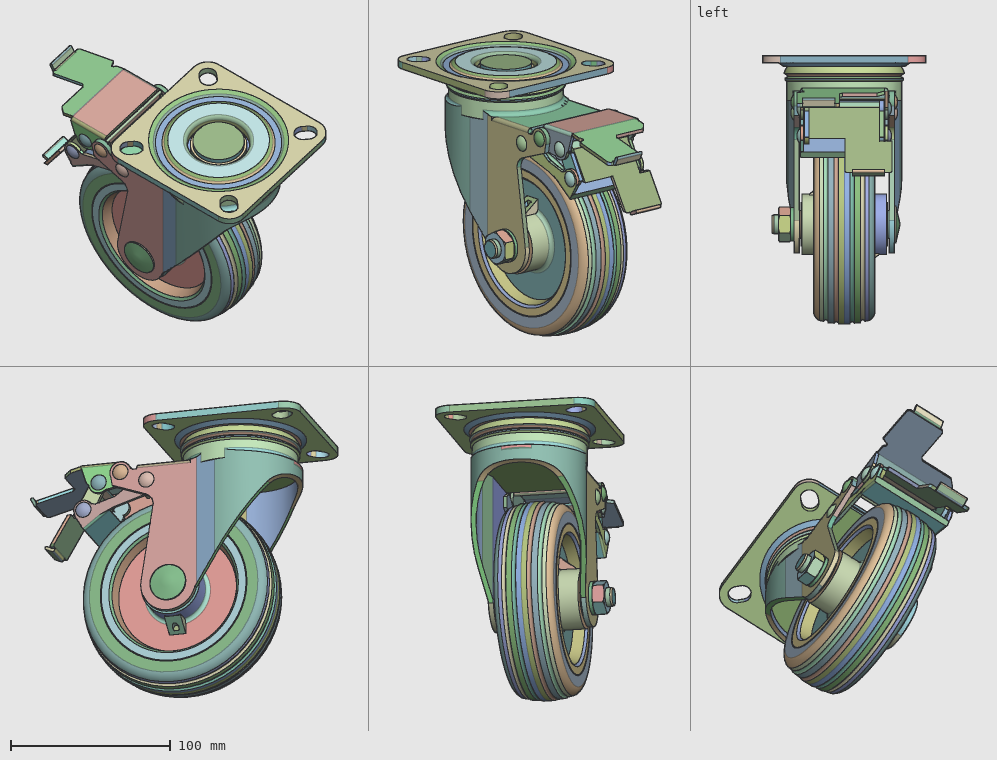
import cadquery as cq
import math


WHEEL_RADIUS = 62.5
TOTAL_HEIGHT = 168.0
SWIVEL_X = 38.0
PLATE_TOP = TOTAL_HEIGHT - WHEEL_RADIUS

PLATE_SIZE = 102.0
PLATE_THICKNESS = 4.5
PLATE_CORNER = 11.0
PLATE_BOTTOM = PLATE_TOP - PLATE_THICKNESS
BOLT_SPACING = 77.5
SLOT_LENGTH = 14.5
SLOT_WIDTH = 11.0
DISH_DEPTH = 2.2
DISH_RADII = (43.8, 40.9, 39.5, 35.4, 34.0, 31.8)
DISH_LIP_DEPTH = 1.2
BULGE_TOP_RADIUS = 41.3
BULGE_BOTTOM_RADIUS = 38.0
PIN_HOLE_RADIUS = 19.6
PIN_HOLE_LIP_RADIUS = 22.0

NECK_TOP = PLATE_BOTTOM - DISH_DEPTH
NECK_RADIUS = 36.0
NECK_FLARE = 3.0
LOWER_LIP_RADIUS = 37.2
LOWER_LIP_Z = 90.4
LOWER_LIP_THICKNESS = 0.9
LIP_SLOPE = 1.2
LIP_GROOVE_RADIUS = 35.0
LIP_GROOVE_Z = 92.6
UPPER_LIP_RADIUS = 37.7
UPPER_LIP_Z = 94.3
NECK_TOP_RADIUS = 35.5
UPPER_LIP_ARC = 9.0
PIN_RADIUS = 16.1
PIN_COLLAR_RADIUS = 17.7
PIN_COLLAR_TOP = PLATE_BOTTOM + 1.0
PIN_TOP = PLATE_TOP - 0.5
ROOF_TOP = 80.6
SHEET = 3.25
LEG_OUTER = 31.3
LEG_INNER = LEG_OUTER - SHEET
LEG_END_RADIUS = 18.0
ROOF_FRONT_X = -19.7
NOTCH_DEPTH = 3.0
SKIRT_LIP_Z = 71.5
SKIRT_SWEEP_END = (64.0, 62.0)
LEG_REAR_END = (17.5, -4.2)
LEG_FRONT_TOP = (-9.8, 53.0)
EAR_ARM_START = (-15.5, 60.6)
SKIRT_START_X = 18.6
SKIRT_CENTRE_X = 41.0
SKIRT_RADIUS = 36.1
BEND_RADIUS = 2.5

TYRE_HALF_WIDTH = 19.2
TYRE_SHOULDER_RADIUS = 55.0
TREAD_EDGE = (60.2, 15.5)
OUTER_GROOVE = ((60.7, 12.9), (59.8, 11.5), (61.6, 10.2))
INNER_GROOVE = ((61.9, 6.3), (61.0, 4.9), (WHEEL_RADIUS, 3.5))
SEAM_RADIUS = 47.6
SEAM_HALF_WIDTH = 0.3
RIM_INNER_RADIUS = 42.3
RIM_EDGE = 1.6
WEB_OUTER_RADIUS = 38.5
WEB_HALF_WIDTH = 10.5
HUB_RADIUS = 19.0
HUB_FILLET = 2.5
HUB_HALF_WIDTH = 26.5
BEARING_RADIUS = 13.6
BEARING_HALF_WIDTH = 27.2
LUG_WIDTH = 10.6
LUG_REACH = 27.4
LUG_ROOT = 1.0
LUG_TOP_Y = 21.8
LUG_HOLE_RADIUS = 2.0
LUG_HOLE_Z = 24.2
LUG_HOLE_DEPTH = 2.0

AXLE_RADIUS = 6.0
AXLE_END_Y = 45.2
AXLE_CHAMFER = 1.2
SPACER_RADIUS = 8.8
HEAD_RADIUS = 11.6
HEAD_RIM = 1.0
HEAD_CONE = 2.7
WASHER_RADIUS = 10.5
WASHER_THICKNESS = 2.2
NUT_FLATS = 19.0
NUT_THICKNESS = 7.5
NUT_CHAMFER_HEIGHT = 0.6
NUT_CHAMFER_WIDTH = 1.0

PEDAL_PIVOT = (-31.2, 76.5)
SHOE_PIVOT = (-14.2, 69.7)
LINK_TOP_PIVOT = (-46.5, 72.4)
LINK_BOTTOM_PIVOT = (-56.5, 55.3)
BRAKE_SHEET = 2.1
BRAKE_OUTER = 27.5
BRAKE_INNER = BRAKE_OUTER - BRAKE_SHEET
LEVER_OUTER = 24.9
LEVER_SHEET = 2.8
LEVER_INNER = LEVER_OUTER - LEVER_SHEET
EAR_RADIUS = 6.8
SHOE_EYE_RADIUS = 6.3
RIVET_HEAD_RADIUS = 5.0
RIVET_HEAD_HEIGHT = 2.1
RIVET_SHANK_RADIUS = 3.0
PEDAL_TOP = 85.2
PEDAL_BEND = 2.0
TONGUE_CORNER = 2.0
LEVER_CORNER = 1.5
PAD_THICKNESS = 4.5
PAD_BEND = 1.3


def xz_plane(y_high):
    """Sketch plane in X and Z whose extrusions run from y_high towards -Y."""
    return cq.Workplane("XZ", origin=(0, y_high, 0))


def slab(points, y_low, y_high):
    """Prism with an outline in X and Z, between two Y values."""
    return xz_plane(y_high).polyline(points).close().extrude(y_high - y_low)


def disc(centre, radius, y_low, y_high):
    """Cylinder along Y."""
    return xz_plane(y_high).center(*centre).circle(radius).extrude(y_high - y_low)


def strip(start, end, thickness, y_low, y_high):
    """Flat sheet along a line in X and Z, with rounded ends."""
    dx = end[0] - start[0]
    dz = end[1] - start[1]
    middle = ((start[0] + end[0]) / 2, (start[1] + end[1]) / 2)
    length = math.hypot(dx, dz) + thickness
    angle = math.degrees(math.atan2(dz, dx))
    return xz_plane(y_high).center(*middle).slot2D(length, thickness, angle).extrude(y_high - y_low)


def both_sides(body):
    """The body together with its mirror image in Y."""
    return body.union(body.mirror("XZ"))


def make_plate():
    swivel = cq.Workplane("XY", origin=(SWIVEL_X, 0, PLATE_BOTTOM))
    plate = swivel.rect(PLATE_SIZE, PLATE_SIZE).extrude(PLATE_THICKNESS)
    plate = plate.edges("|Z").fillet(PLATE_CORNER)
    half = BOLT_SPACING / 2
    for x_sign in (-1, 1):
        for y_sign in (-1, 1):
            slot = swivel.center(x_sign * half, y_sign * half)
            slot = slot.slot2D(SLOT_LENGTH, SLOT_WIDTH, 45 * x_sign * y_sign)
            plate = plate.cut(slot.extrude(PLATE_THICKNESS))

    bulge = swivel.circle(BULGE_TOP_RADIUS).workplane(offset=-DISH_DEPTH)
    bulge = bulge.circle(BULGE_BOTTOM_RADIUS).loft(combine=True)
    plate = plate.union(bulge)
    outer, outer_wall, outer_floor, inner_floor, inner_wall, inner = DISH_RADII
    lip_z = PLATE_TOP - DISH_LIP_DEPTH
    groove_floor = PLATE_TOP - DISH_DEPTH
    groove = (
        cq.Workplane("XZ")
        .polyline([
            (outer, PLATE_TOP), (outer_wall, lip_z), (outer_floor, groove_floor),
            (inner_floor, groove_floor), (inner_wall, lip_z), (inner, PLATE_TOP),
        ])
        .close()
        .revolve(360, (0, 0, 0), (0, 1, 0))
        .translate((SWIVEL_X, 0, 0))
    )
    plate = plate.cut(groove)

    lip = PIN_HOLE_LIP_RADIUS - PIN_HOLE_RADIUS
    hole = (
        cq.Workplane("XZ")
        .moveTo(0, NECK_TOP)
        .lineTo(PIN_HOLE_RADIUS, NECK_TOP)
        .lineTo(PIN_HOLE_RADIUS, PLATE_TOP - lip)
        .radiusArc((PIN_HOLE_LIP_RADIUS, PLATE_TOP), lip)
        .lineTo(0, PLATE_TOP)
        .close()
        .revolve(360, (0, 0, 0), (0, 1, 0))
        .translate((SWIVEL_X, 0, 0))
    )
    return plate.cut(hole)


def fork_plan(inset):
    """Fork seen from above, moved in by the inset: flat legs, then flanks tangent to the round skirt."""
    front_x = PEDAL_PIVOT[0] - EAR_RADIUS - 1
    leg_y = LEG_OUTER - inset
    radius = SKIRT_RADIUS - inset
    reach = math.hypot(SKIRT_CENTRE_X - SKIRT_START_X, LEG_OUTER)
    corner_angle = math.atan2(SKIRT_CENTRE_X - SKIRT_START_X, LEG_OUTER)
    flare = corner_angle - math.acos(SKIRT_RADIUS / reach)
    corner_x = SKIRT_START_X + inset * math.tan(flare / 2)
    tangent_x = SKIRT_CENTRE_X - radius * math.sin(flare)
    tangent_y = radius * math.cos(flare)
    return (
        cq.Workplane("XY", origin=(0, 0, -LEG_END_RADIUS))
        .moveTo(front_x, -leg_y)
        .lineTo(corner_x, -leg_y)
        .lineTo(tangent_x, -tangent_y)
        .threePointArc((SKIRT_CENTRE_X + radius, 0), (tangent_x, tangent_y))
        .lineTo(corner_x, leg_y)
        .lineTo(front_x, leg_y)
        .close()
    )


def fork_side_profile():
    """Fork legs, ears and rear skirt seen along Y, as one block."""
    half_width = SKIRT_RADIUS + 2
    rear_x = SKIRT_CENTRE_X + SKIRT_RADIUS + 1
    ear_x, ear_z = PEDAL_PIVOT
    notch_z = ROOF_TOP - NOTCH_DEPTH
    return (
        xz_plane(half_width)
        .moveTo(ROOF_FRONT_X, ROOF_TOP + 1)
        .lineTo(rear_x, ROOF_TOP + 1)
        .lineTo(rear_x, SKIRT_LIP_Z)
        .threePointArc((70.0, 67.8), SKIRT_SWEEP_END)
        .lineTo(*LEG_REAR_END)
        .threePointArc((0, -LEG_END_RADIUS), (-LEG_END_RADIUS + 0.3, 2.5))
        .lineTo(*LEG_FRONT_TOP)
        .threePointArc((-11.0, 57.2), EAR_ARM_START)
        .lineTo(ear_x - 5.2, ear_z - 8.3)
        .lineTo(ear_x - EAR_RADIUS, ear_z)
        .lineTo(ear_x, ear_z + EAR_RADIUS)
        .lineTo(ear_x + 3.5, ear_z + 5.8)
        .lineTo(-23.2, notch_z)
        .lineTo(-20.8, notch_z)
        .close()
        .extrude(2 * half_width)
    )


def make_fork():
    height = ROOF_TOP + LEG_END_RADIUS
    shell = fork_plan(0).extrude(height).faces(">Z").edges("not |Y").fillet(BEND_RADIUS)
    cavity = fork_plan(SHEET).extrude(height)
    roof_length = SKIRT_CENTRE_X + SKIRT_RADIUS - ROOF_FRONT_X
    roof = cq.Workplane("XY", origin=(ROOF_FRONT_X + roof_length / 2, 0, ROOF_TOP - SHEET))
    roof = roof.rect(roof_length, 2 * SKIRT_RADIUS).extrude(SHEET)
    fork = shell.cut(cavity.cut(roof)).intersect(fork_side_profile())
    fork = fork.union(both_sides(disc(PEDAL_PIVOT, EAR_RADIUS, LEG_INNER, LEG_OUTER)))

    neck = (
        cq.Workplane("XZ")
        .moveTo(0, ROOF_TOP - SHEET)
        .lineTo(NECK_RADIUS, ROOF_TOP - SHEET)
        .lineTo(NECK_RADIUS, LOWER_LIP_Z - LIP_SLOPE)
        .lineTo(LOWER_LIP_RADIUS, LOWER_LIP_Z)
        .lineTo(LOWER_LIP_RADIUS, LOWER_LIP_Z + LOWER_LIP_THICKNESS)
        .lineTo(LIP_GROOVE_RADIUS, LIP_GROOVE_Z)
        .lineTo(UPPER_LIP_RADIUS - LIP_SLOPE, UPPER_LIP_Z - LIP_SLOPE / 2)
        .lineTo(UPPER_LIP_RADIUS, UPPER_LIP_Z)
        .radiusArc((NECK_TOP_RADIUS, NECK_TOP), -UPPER_LIP_ARC)
        .lineTo(PIN_COLLAR_RADIUS, NECK_TOP)
        .lineTo(PIN_COLLAR_RADIUS, PIN_COLLAR_TOP)
        .lineTo(PIN_RADIUS, PIN_COLLAR_TOP)
        .lineTo(PIN_RADIUS, PIN_TOP)
        .lineTo(0, PIN_TOP)
        .close()
        .revolve(360, (0, 0, 0), (0, 1, 0))
        .translate((SWIVEL_X, 0, 0))
    )
    flare_radius = NECK_RADIUS + NECK_FLARE
    flare = (
        cq.Workplane("XZ")
        .moveTo(PIN_RADIUS, ROOF_TOP - BEND_RADIUS)
        .lineTo(flare_radius, ROOF_TOP - BEND_RADIUS)
        .lineTo(flare_radius, ROOF_TOP)
        .radiusArc((NECK_RADIUS, ROOF_TOP + NECK_FLARE), NECK_FLARE)
        .lineTo(PIN_RADIUS, ROOF_TOP + NECK_FLARE)
        .close()
        .revolve(360, (0, 0, 0), (0, 1, 0))
        .translate((SWIVEL_X, 0, 0))
        .intersect(fork_plan(0).extrude(PLATE_TOP))
    )
    fork = fork.union(flare).union(neck)
    span = SKIRT_RADIUS + 1
    fork = fork.cut(disc((0, 0), AXLE_RADIUS, -span, span))
    for pivot in (PEDAL_PIVOT, SHOE_PIVOT):
        fork = fork.cut(disc(pivot, RIVET_SHANK_RADIUS, -span, span))
    return fork


def wheel_half_profile():
    """Radius against Y for one half of the wheel, from the hub end out to the tread centre."""
    return (
        cq.Workplane("XY")
        .moveTo(AXLE_RADIUS, 0)
        .lineTo(AXLE_RADIUS, BEARING_HALF_WIDTH)
        .lineTo(BEARING_RADIUS, BEARING_HALF_WIDTH)
        .lineTo(BEARING_RADIUS, HUB_HALF_WIDTH)
        .lineTo(HUB_RADIUS, HUB_HALF_WIDTH)
        .lineTo(HUB_RADIUS, WEB_HALF_WIDTH + HUB_FILLET)
        .radiusArc((HUB_RADIUS + HUB_FILLET, WEB_HALF_WIDTH), -HUB_FILLET)
        .lineTo(WEB_OUTER_RADIUS, WEB_HALF_WIDTH)
        .lineTo(RIM_INNER_RADIUS - RIM_EDGE, TYRE_HALF_WIDTH - RIM_EDGE)
        .lineTo(RIM_INNER_RADIUS, TYRE_HALF_WIDTH)
        .lineTo(SEAM_RADIUS - SEAM_HALF_WIDTH, TYRE_HALF_WIDTH)
        .lineTo(SEAM_RADIUS, TYRE_HALF_WIDTH - SEAM_HALF_WIDTH)
        .lineTo(SEAM_RADIUS + SEAM_HALF_WIDTH, TYRE_HALF_WIDTH)
        .lineTo(TYRE_SHOULDER_RADIUS, TYRE_HALF_WIDTH)
        .threePointArc((58.6, 17.6), TREAD_EDGE)
        .lineTo(*OUTER_GROOVE[0])
        .threePointArc(*OUTER_GROOVE[1:])
        .lineTo(*INNER_GROOVE[0])
        .threePointArc(*INNER_GROOVE[1:])
        .lineTo(WHEEL_RADIUS, 0)
    )


def make_lug():
    """Ramp below the hub on the -Y side, falling from the hub to the web, with a round dimple."""
    lug = (
        cq.Workplane("YZ", origin=(-LUG_WIDTH / 2, 0, 0))
        .polyline([
            (-LUG_TOP_Y, LUG_ROOT - HUB_RADIUS),
            (-LUG_TOP_Y, -HUB_RADIUS),
            (-WEB_HALF_WIDTH, -LUG_REACH),
            (LUG_ROOT - WEB_HALF_WIDTH, -LUG_REACH),
            (LUG_ROOT - WEB_HALF_WIDTH, LUG_ROOT - HUB_RADIUS),
        ])
        .close()
        .extrude(LUG_WIDTH)
    )
    slope = (LUG_TOP_Y - WEB_HALF_WIDTH) / (LUG_REACH - HUB_RADIUS)
    surface_y = -WEB_HALF_WIDTH - (LUG_REACH - LUG_HOLE_Z) * slope
    dimple = disc((0, -LUG_HOLE_Z), LUG_HOLE_RADIUS, -LUG_TOP_Y, surface_y + LUG_HOLE_DEPTH)
    return lug.cut(dimple)


def make_wheel():
    rim_and_tyre = wheel_half_profile().mirrorX().revolve(360, (0, 0, 0), (0, 1, 0))
    lug = make_lug()
    opposite_lug = lug.rotate((0, 0, 0), (1, 0, 0), 180)
    return rim_and_tyre.union(lug).union(opposite_lug)


def make_axle():
    head_y = -LEG_OUTER - HEAD_RIM
    axle = (
        cq.Workplane("XY")
        .polyline([
            (0, head_y - HEAD_CONE),
            (HEAD_RADIUS, head_y),
            (HEAD_RADIUS, -LEG_OUTER),
            (AXLE_RADIUS, -LEG_OUTER),
            (AXLE_RADIUS, AXLE_END_Y - AXLE_CHAMFER),
            (AXLE_RADIUS - AXLE_CHAMFER / 2, AXLE_END_Y),
            (0, AXLE_END_Y),
        ])
        .close()
        .revolve(360, (0, 0, 0), (0, 1, 0))
    )
    axle = axle.union(both_sides(disc((0, 0), SPACER_RADIUS, BEARING_HALF_WIDTH, LEG_INNER)))
    nut_start = LEG_OUTER + WASHER_THICKNESS
    nut_end = nut_start + NUT_THICKNESS
    corner_diameter = NUT_FLATS / math.cos(math.pi / 6)
    nut = xz_plane(nut_end).transformed(rotate=(0, 0, 30)).polygon(6, corner_diameter)
    nut = nut.extrude(NUT_THICKNESS)
    nut_turning = disc((0, 0), corner_diameter / 2, nut_start, nut_end)
    nut_turning = nut_turning.faces("<Y or >Y").chamfer(NUT_CHAMFER_HEIGHT, NUT_CHAMFER_WIDTH)
    washer = disc((0, 0), WASHER_RADIUS, LEG_OUTER, nut_start)
    return axle.union(washer).union(nut.intersect(nut_turning))


def rivet_pair(pivot, seat_y, inner_y):
    """Domed rivets on both sides: heads on seat_y, shanks running in to inner_y."""
    dome_radius = (RIVET_HEAD_RADIUS**2 + RIVET_HEAD_HEIGHT**2) / (2 * RIVET_HEAD_HEIGHT)
    head = (
        cq.Workplane("XY")
        .lineTo(RIVET_HEAD_RADIUS, 0)
        .radiusArc((0, RIVET_HEAD_HEIGHT), -dome_radius)
        .close()
        .revolve(360, (0, 0, 0), (0, 1, 0))
        .translate((pivot[0], seat_y, pivot[1]))
    )
    shank = disc(pivot, RIVET_SHANK_RADIUS, inner_y, seat_y)
    return both_sides(head.union(shank))


def make_pedal():
    """Upper pedal: channel on the fork ears with a tongue sloping forward and down."""
    front_x, rear_x = -58.0, -30.9
    under_top = PEDAL_TOP - BRAKE_SHEET
    top = slab(
        [(front_x, under_top), (rear_x, under_top), (rear_x, PEDAL_TOP), (front_x, PEDAL_TOP)],
        -BRAKE_OUTER, BRAKE_OUTER,
    )
    top = top.edges("|X and >Z").fillet(PEDAL_BEND)
    flange = slab(
        [(front_x, under_top), (-54.8, 73.0), (-48.0, 66.3), (-36.4, 68.2), (-31.2, 69.7),
         (-26.0, 73.0), (-28.5, 81.0), (rear_x, under_top)],
        BRAKE_INNER, BRAKE_OUTER,
    )
    flange = flange.union(disc(LINK_TOP_PIVOT, EAR_RADIUS, BRAKE_INNER, BRAKE_OUTER))
    rear_edge = strip((-29.9, 82.0), (-29.9, 79.0), BRAKE_SHEET, -BRAKE_OUTER, BRAKE_OUTER)

    tongue_start = (front_x, PEDAL_TOP - BRAKE_SHEET / 2)
    tongue_end = (-97.8, 74.2)
    tongue = strip(tongue_start, tongue_end, BRAKE_SHEET, -BRAKE_OUTER, LEG_OUTER)
    outline = (
        cq.Workplane("XY", origin=(0, 0, tongue_end[1] - SHEET))
        .polyline([
            (-55.5, 26.5), (-64.0, 26.5), (-65.6, 25.2), (-67.1, 25.2), (-69.0, 29.7), (-97.0, 29.7),
            (-97.0, 2.9), (-72.5, 2.9), (-70.5, 1.0), (-70.5, -20.6), (-65.6, -25.2), (-55.5, -25.2),
        ])
        .close()
        .extrude(PEDAL_TOP)
    )
    outline = outline.edges("|Z and <X").fillet(TONGUE_CORNER)
    lip_low, lip_high = 5.9, 26.0
    lip_foot = strip((-96.0, 74.7), tongue_end, BRAKE_SHEET, lip_low, lip_high)
    lip = strip(tongue_end, (-99.9, 78.0), BRAKE_SHEET, lip_low, lip_high)
    pedal = top.union(both_sides(flange)).union(rear_edge).union(tongue.intersect(outline))
    return pedal.union(lip_foot).union(lip)


def make_lever():
    """Lower release lever: sheet sloping forward and down between two link flanges."""
    top_end, low_end = (-52.6, 72.6), (-77.2, 31.4)
    sheet = strip(top_end, low_end, BRAKE_SHEET, -LEG_OUTER, LEG_OUTER)
    outline = (
        cq.Workplane("YZ", origin=(low_end[0] - SHEET, 0, 0))
        .polyline([
            (-LEVER_INNER, 73.0), (LEVER_INNER, 73.0), (LEVER_INNER, 53.8), (-0.4, 53.8),
            (-0.4, 32.4), (-29.9, 32.4), (-29.9, 52.0), (-LEVER_INNER, 52.0),
        ])
        .close()
        .extrude(-low_end[0])
    )
    outline = outline.edges("|X and <Z").fillet(LEVER_CORNER)
    top_bend = strip(top_end, (-49.0, 75.6), BRAKE_SHEET, -LEVER_INNER, LEVER_INNER)
    flange = slab(
        [(-54.0, 71.0), (-46.0, 69.0), (-45.0, 66.3), (-50.5, 55.0), (-57.0, 53.0), (-63.0, 54.7)],
        LEVER_INNER, LEVER_OUTER,
    )
    for pivot in (LINK_TOP_PIVOT, LINK_BOTTOM_PIVOT):
        flange = flange.union(disc(pivot, RIVET_HEAD_RADIUS, LEVER_INNER, LEVER_OUTER))
    lip_low, lip_high = -25.2, -5.1
    lip_foot = strip((-76.2, 33.0), low_end, BRAKE_SHEET, lip_low, lip_high)
    lip = strip(low_end, (-81.2, 33.2), BRAKE_SHEET, lip_low, lip_high)
    return sheet.intersect(outline).union(top_bend).union(both_sides(flange)).union(lip_foot).union(lip)


def make_shoe():
    """Shoe: two arms from the fork to the lever, joined by a pad facing the tread."""
    front, pad_rear = (-56.0, 41.7), (-39.7, 53.8)
    arm = slab(
        [front, pad_rear, (-36.0, 55.5), (-16.2, 61.5), (-9.0, 65.0), (-9.0, 72.0), (-17.0, 76.0),
         (-30.9, 65.8), (-35.9, 62.1), (-48.8, 58.3), (-53.5, 59.5), (-62.7, 52.3)],
        BRAKE_INNER, BRAKE_OUTER,
    )
    arm = arm.union(disc(LINK_BOTTOM_PIVOT, SHOE_EYE_RADIUS, BRAKE_INNER, BRAKE_OUTER))
    run = pad_rear[0] - front[0]
    rise = pad_rear[1] - front[1]
    length = math.hypot(run, rise)
    lift_x = -PAD_THICKNESS * rise / length
    lift_z = PAD_THICKNESS * run / length
    pad = slab(
        [
            front,
            pad_rear,
            (pad_rear[0] + lift_x, pad_rear[1] + lift_z),
            (front[0] + lift_x, front[1] + lift_z),
        ],
        -BRAKE_OUTER, BRAKE_OUTER,
    )
    shoe = both_sides(arm).union(pad)
    along_pad = cq.selectors.ParallelDirSelector(cq.Vector(run, 0, rise))
    return shoe.edges(along_pad).edges(">Y or <Y").fillet(PAD_BEND)


def make_brake():
    brake = make_pedal().union(make_lever()).union(make_shoe())
    for pivot in (PEDAL_PIVOT, SHOE_PIVOT):
        brake = brake.union(rivet_pair(pivot, LEG_OUTER, BRAKE_INNER))
    for pivot in (LINK_TOP_PIVOT, LINK_BOTTOM_PIVOT):
        brake = brake.union(rivet_pair(pivot, BRAKE_OUTER, LEVER_INNER))
    return brake


plate = make_plate()
fork = make_fork()
wheel = make_wheel()
axle = make_axle()
brake = make_brake()
bodies = [plate, fork, wheel, axle, brake]
result = cq.Compound.makeCompound([body.solids().val() for body in bodies])